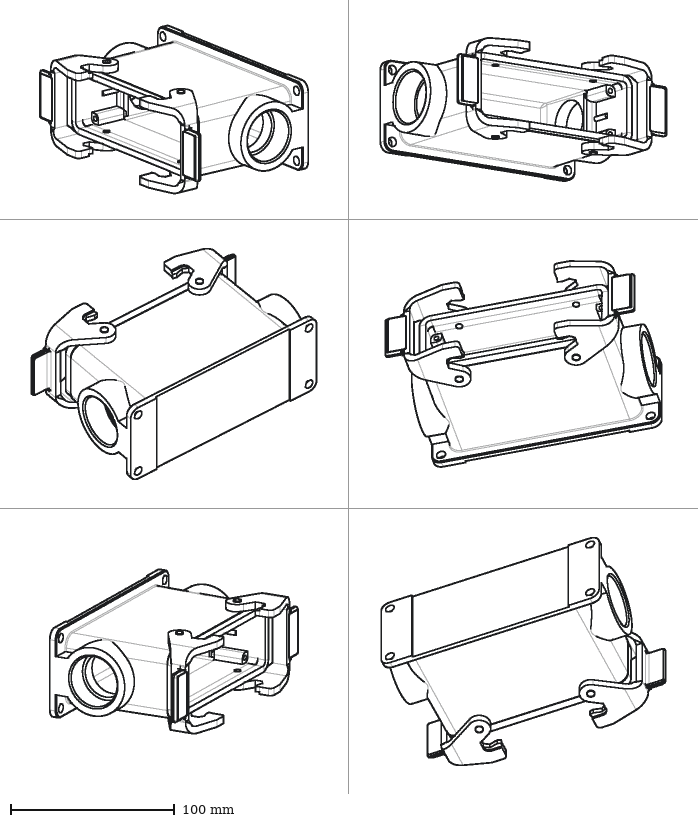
import cadquery as cq
import math


FLANGE_LENGTH = 144.2
FLANGE_HEIGHT = 57.0
FLANGE_THICKNESS = 4.6
FLANGE_CORNER_RADIUS = 6.0
FLANGE_EDGE_CHAMFER = 0.7
FLANGE_ROOT_FILLET = 0.7
RELIEF_LENGTH = 103.5
RELIEF_DEPTH = 1.2
MOUNT_HOLE_DIAMETER = 5.6
MOUNT_HOLE_X = 66.2
MOUNT_HOLE_Z = 22.5

BOX_LENGTH = 121.3
BOX_HEIGHT = 44.9
BOX_CORNER_RADIUS = 7.7
BOX_TAPER = 0.6
BOX_DEPTH = 75.0
MOUTH_DEPTH = 80.9

RIM_LENGTH = 119.2
RIM_HEIGHT = 42.6
RIM_CORNER_RADIUS = 7.2
RIM_WALL = 4.0
RIM_CROWN = 0.6

OPENING_LENGTH = RIM_LENGTH - 2 * RIM_WALL
OPENING_HEIGHT = RIM_HEIGHT - 2 * RIM_WALL
OPENING_CORNER_RADIUS = RIM_CORNER_RADIUS - RIM_WALL
LEAD_IN_DEPTH = 75.0
THROAT_DEPTH = 70.2
WELL_HEIGHT = 34.0
LEDGE_DEPTH = 48.5
LEDGE_ROUNDING = 3.5
WELL_LENGTH = 97.3
WELL_CORNER_RADIUS = 1.5
WELL_TAPER = 0.9
FLOOR_DEPTH = 5.0
FLOOR_FILLET = 2.9

POST_X = 52.1
POST_Z = 13.6
POST_RADIUS = 3.2
POST_SHOULDER_X = POST_X - POST_RADIUS
POST_FACE_DEPTH = 68.0
POST_ROOT_DEPTH = LEDGE_DEPTH - 5
POST_HOLE_DIAMETER = 3.0
POST_HOLE_DEPTH = 2.6
RIB_DIAMETER = 3.0
RIB_FACE_DEPTH = 60.0
WALL_OVERLAP = 1.0

ENTRY_DEPTH = 30.3
ENTRY_FACE_X = FLANGE_LENGTH / 2
ENTRY_ROOT_X = 51.0
ENTRY_ROOT_RADIUS = 22.05
ENTRY_FACE_RADIUS = 21.85
ENTRY_WEB_HALF_HEIGHT = 12.3
ENTRY_THREAD_DIAMETER = 32.0
ENTRY_THREAD_LENGTH = 15.5
ENTRY_CHAMFER = 1.1
ENTRY_BORE_DIAMETER = 28.0

PIVOT_X = 36.9
PIVOT_DEPTH = 71.0
PIN_DIAMETER = 4.0
PIN_HEAD_DIAMETER = 4.8
PIN_HEAD_HEIGHT = 0.6
PIN_HEAD_SINK = 1.0
PIVOT_BOSS_DIAMETER = 7.0
PIVOT_BOSS_ROOT_Z = 20.0

ARM_OUTER_Z = 27.4
ARM_INNER_Z = 22.7
ARM_EYE_RADIUS = 7.0
NECK_ANGLE = math.radians(32)
LEVER_BACK_X = 66.5
LEVER_BACK_THICKNESS = 3.9
LEVER_BEND_RADIUS = 9.3
LEVER_BEND_INNER_RADIUS = 5.0
LEVER_BACK_FRONT_DEPTH = 91.3
LEVER_FRONT_DEPTH = 98.8
LEVER_BACK_REAR_DEPTH = 81.3
BEND_REAR_DEPTH = 75.5
BEND_FRONT_DEPTH = 94.0
HOOK_HEEL_X = 40.2
HOOK_TIP_X = 29.9
HOOK_CORNER_RADIUS = 2.5
SLOT_END_X = 40.6
SLOT_FLOOR_DEPTH = 90.0
SLOT_RADIUS = 3.8
LIP_OUTER_Z = 26.0
LIP_VALLEY_X = 37.2
LIP_VALLEY_DEPTH = 88.3
LIP_CREST_X = 31.8
LIP_CREST_DEPTH = 87.0
LIP_TIP_X = 29.3
LIP_TIP_DEPTH = 87.6
LIP_OVERLAP = 1.0

HANDLE_TIP_X = 157.4 / 2
HANDLE_HALF_HEIGHT = 15.5
HANDLE_BACK_DEPTH = 87.8
HANDLE_CORNER_RADIUS = 2.0
HANDLE_FRONT_CHAMFER = 1.4
HANDLE_BACK_CHAMFER = 0.8
HANDLE_ROOT_FILLET = 1.8
PAD_INNER_X = 65.0
PAD_OUTER_X = 76.4
PAD_HALF_HEIGHT = 14.1
PAD_CORNER_RADIUS = 1.0
PAD_RISE = 0.4

SIDES = (-1, 1)


def at_depth(depth):
    """Plane facing the mouth, with X across and Z up."""
    return cq.Workplane("XZ", origin=(0, -depth, 0))


def rounded_bar(length, height, radius, start, end, taper=0):
    """Bar along Y with rounded long edges, shrinking toward `end`."""
    sketch = cq.Sketch().rect(length, height).vertices().fillet(radius)
    return at_depth(start).placeSketch(sketch).extrude(end - start, taper=taper)


def block(x_range, depth_range, z_range):
    """Box between two X, two depths and two Z."""
    size = [abs(b - a) for a, b in (x_range, depth_range, z_range)]
    corner = (min(x_range), -max(depth_range), min(z_range))
    return cq.Workplane("XY").box(*size, centered=False).translate(corner)


def along_x(radius, start, end, end_radius=None):
    """Cylinder or cone on the cable entry axis."""
    end_radius = radius if end_radius is None else end_radius
    profile = [(start, 0), (start, radius), (end, end_radius), (end, 0)]
    solid = cq.Workplane("XY").polyline(profile).close().revolve(360, (0, 0, 0), (1, 0, 0))
    return solid.translate((0, -ENTRY_DEPTH, 0))


def both_sides(solid):
    """A solid together with its mirror image across X = 0."""
    return solid.union(solid.mirror("YZ"))


def pivot_cylinder(side, level, diameter, z_start, z_end):
    """Cylinder on a lever pivot, between two heights above or below mid-plane."""
    plane = cq.Workplane("XY", origin=(side * PIVOT_X, -PIVOT_DEPTH, level * z_start))
    return plane.circle(diameter / 2).extrude(level * (z_end - z_start))




def make_flange():
    """Mounting plate with corner holes and a relief across its back."""
    flange = rounded_bar(FLANGE_LENGTH, FLANGE_HEIGHT, FLANGE_CORNER_RADIUS, 0, FLANGE_THICKNESS)
    flange = flange.faces("<Y").chamfer(FLANGE_EDGE_CHAMFER)
    relief = at_depth(0).rect(RELIEF_LENGTH, FLANGE_HEIGHT).extrude(RELIEF_DEPTH)
    mount_holes = (
        at_depth(0)
        .rect(2 * MOUNT_HOLE_X, 2 * MOUNT_HOLE_Z, forConstruction=True)
        .vertices()
        .circle(MOUNT_HOLE_DIAMETER / 2)
        .extrude(FLANGE_THICKNESS)
    )
    return flange.cut(relief).cut(mount_holes)


def make_shell():
    """Tapered box with a slightly inset rim round its mouth."""
    box = rounded_bar(BOX_LENGTH, BOX_HEIGHT, BOX_CORNER_RADIUS, RELIEF_DEPTH, BOX_DEPTH, BOX_TAPER)
    rim = rounded_bar(RIM_LENGTH, RIM_HEIGHT, RIM_CORNER_RADIUS, LEDGE_DEPTH, MOUTH_DEPTH - RIM_CROWN)
    return box.union(rim)


def make_crown():
    """Low arched crown running round the face of the rim."""
    sketch = cq.Sketch().rect(RIM_LENGTH - RIM_WALL, RIM_HEIGHT - RIM_WALL)
    sketch = sketch.vertices().fillet(RIM_CORNER_RADIUS - RIM_WALL / 2)
    base_depth = MOUTH_DEPTH - RIM_CROWN
    bar = at_depth(base_depth).placeSketch(sketch).extrude(1)
    path = bar.faces(">Y").wires().val()
    top_z = RIM_HEIGHT / 2
    profile = (
        cq.Workplane("YZ")
        .moveTo(-base_depth, top_z)
        .threePointArc((-MOUTH_DEPTH, top_z - RIM_WALL / 2), (-base_depth, top_z - RIM_WALL))
        .close()
    )
    return profile.sweep(cq.Workplane(path))


def make_opening():
    """Mouth opening, with sloping lead-ins down to the narrower throat."""
    throat = rounded_bar(
        OPENING_LENGTH, WELL_HEIGHT, OPENING_CORNER_RADIUS, LEDGE_DEPTH, MOUTH_DEPTH - RIM_CROWN
    )
    mouth = rounded_bar(
        OPENING_LENGTH, OPENING_HEIGHT, OPENING_CORNER_RADIUS, LEAD_IN_DEPTH, MOUTH_DEPTH - RIM_CROWN
    )
    lead_in = (
        cq.Workplane("YZ")
        .moveTo(-LEAD_IN_DEPTH, -OPENING_HEIGHT / 2)
        .lineTo(-LEAD_IN_DEPTH, OPENING_HEIGHT / 2)
        .lineTo(-THROAT_DEPTH, WELL_HEIGHT / 2)
        .lineTo(-THROAT_DEPTH, -WELL_HEIGHT / 2)
        .close()
        .extrude(OPENING_LENGTH / 2 - OPENING_CORNER_RADIUS, both=True)
    )
    return throat.union(mouth).union(lead_in)


def make_entry():
    """Cable entry on the +X end, with the web that joins it to the flange."""
    boss = along_x(ENTRY_ROOT_RADIUS, ENTRY_ROOT_X, ENTRY_FACE_X, ENTRY_FACE_RADIUS)
    web = block(
        (ENTRY_ROOT_X, ENTRY_FACE_X),
        (RELIEF_DEPTH, ENTRY_DEPTH),
        (-ENTRY_WEB_HALF_HEIGHT, ENTRY_WEB_HALF_HEIGHT),
    )
    return boss.union(web)


def make_entry_bore():
    """Stepped bore of the +X cable entry, chamfered at its mouth."""
    bore = along_x(ENTRY_BORE_DIAMETER / 2, 0, ENTRY_FACE_X)
    thread_radius = ENTRY_THREAD_DIAMETER / 2
    thread = along_x(thread_radius, ENTRY_FACE_X - ENTRY_THREAD_LENGTH, ENTRY_FACE_X)
    mouth = along_x(
        thread_radius, ENTRY_FACE_X - ENTRY_CHAMFER, ENTRY_FACE_X, thread_radius + ENTRY_CHAMFER
    )
    return bore.union(thread).union(mouth)


def make_well():
    """Deep part of the cavity, narrowing toward a floor with a filleted edge."""
    sketch = cq.Sketch().rect(WELL_LENGTH, WELL_HEIGHT).vertices().fillet(WELL_CORNER_RADIUS)
    well = at_depth(LEDGE_DEPTH).placeSketch(sketch).extrude(FLOOR_DEPTH - LEDGE_DEPTH, taper=WELL_TAPER)
    return well.faces(">Y").edges().fillet(FLOOR_FILLET)


def make_ledge_rounding():
    """Bar whose cut rolls the edge from the ledge into the end wall of the well, at +X."""
    edge_x = WELL_LENGTH / 2
    profile = (
        cq.Workplane("XY")
        .moveTo(edge_x, -LEDGE_DEPTH)
        .lineTo(edge_x + LEDGE_ROUNDING, -LEDGE_DEPTH)
        .radiusArc((edge_x, -LEDGE_DEPTH + LEDGE_ROUNDING), LEDGE_ROUNDING)
        .close()
    )
    return profile.extrude(WELL_HEIGHT / 2 - WELL_CORNER_RADIUS, both=True)


def make_posts():
    """Four corner posts, and a rib in the middle of each end wall."""
    posts = cq.Workplane("XY")
    wall_x = OPENING_LENGTH / 2 + WALL_OVERLAP
    wall_z = OPENING_HEIGHT / 2 + WALL_OVERLAP
    depths = (POST_ROOT_DEPTH, POST_FACE_DEPTH)
    height = POST_FACE_DEPTH - POST_ROOT_DEPTH
    for side in SIDES:
        for level in SIDES:
            x = side * POST_X
            z = level * POST_Z
            post = at_depth(POST_ROOT_DEPTH).center(x, z).circle(POST_RADIUS).extrude(height)
            to_wall_x = (x, side * wall_x)
            posts = posts.union(post)
            posts = posts.union(block(to_wall_x, depths, (z - level * POST_RADIUS, level * wall_z)))
            posts = posts.union(
                block((side * POST_SHOULDER_X, side * wall_x), depths, (z, level * wall_z))
            )
        rib = at_depth(POST_ROOT_DEPTH).center(side * OPENING_LENGTH / 2, 0).circle(RIB_DIAMETER / 2)
        posts = posts.union(rib.extrude(RIB_FACE_DEPTH - POST_ROOT_DEPTH))
    return posts


def make_screw_dimple(side, level):
    """Conical screw start in the face of one post."""
    centre = cq.Vector(side * POST_X, -POST_FACE_DEPTH, level * POST_Z)
    cone = cq.Solid.makeCone(POST_HOLE_DIAMETER / 2, 0, POST_HOLE_DEPTH, centre, cq.Vector(0, 1, 0))
    return cq.Workplane(cone)


def make_housing():
    """Hollow housing with flange, cable entries, screw posts and pivot bosses."""
    housing = make_shell()
    housing = housing.union(make_flange())
    flange_corner = cq.selectors.BoxSelector(
        (-BOX_LENGTH / 2 - 1, -FLANGE_THICKNESS - 0.1, -BOX_HEIGHT / 2 - 1),
        (BOX_LENGTH / 2 + 1, -FLANGE_THICKNESS + 0.1, BOX_HEIGHT / 2 + 1),
        boundingbox=True,
    )
    housing = housing.edges(flange_corner).fillet(FLANGE_ROOT_FILLET)
    housing = housing.union(both_sides(make_entry()))
    housing = housing.cut(make_opening()).union(make_crown())
    housing = housing.cut(make_well()).cut(both_sides(make_ledge_rounding()))
    housing = housing.union(make_posts().intersect(make_shell()))
    housing = housing.cut(both_sides(make_entry_bore()))
    for side in SIDES:
        for level in SIDES:
            housing = housing.cut(make_screw_dimple(side, level))
            housing = housing.union(
                pivot_cylinder(side, level, PIVOT_BOSS_DIAMETER, PIVOT_BOSS_ROOT_Z, ARM_INNER_Z)
            )
            housing = housing.cut(pivot_cylinder(side, level, PIN_DIAMETER, 0, ARM_INNER_Z))
    return housing




def arm_outline():
    """Outline of the lever at -X: pivot eye, neck, back and hook."""
    along = (-math.cos(NECK_ANGLE), -math.sin(NECK_ANGLE))
    upper = (
        -PIVOT_X - ARM_EYE_RADIUS * math.sin(NECK_ANGLE),
        -PIVOT_DEPTH + ARM_EYE_RADIUS * math.cos(NECK_ANGLE),
    )
    lower = (
        -PIVOT_X + ARM_EYE_RADIUS * math.sin(NECK_ANGLE),
        -PIVOT_DEPTH - ARM_EYE_RADIUS * math.cos(NECK_ANGLE),
    )
    eye_end = (-PIVOT_X - ARM_EYE_RADIUS * along[0], -PIVOT_DEPTH - ARM_EYE_RADIUS * along[1])
    slope = math.tan(NECK_ANGLE)
    back_corner = (-LEVER_BACK_X, upper[1] - slope * (upper[0] + LEVER_BACK_X))
    slot_corner = (-SLOT_END_X, lower[1] - slope * (lower[0] + SLOT_END_X))
    return (
        cq.Workplane("XY")
        .moveTo(*upper)
        .lineTo(*back_corner)
        .lineTo(-LEVER_BACK_X, -LEVER_BACK_FRONT_DEPTH)
        .lineTo(-HOOK_HEEL_X, -LEVER_FRONT_DEPTH)
        .lineTo(-HOOK_TIP_X - HOOK_CORNER_RADIUS, -LEVER_FRONT_DEPTH)
        .radiusArc((-HOOK_TIP_X, -LEVER_FRONT_DEPTH + HOOK_CORNER_RADIUS), -HOOK_CORNER_RADIUS)
        .lineTo(-HOOK_TIP_X, -SLOT_FLOOR_DEPTH)
        .lineTo(-SLOT_END_X + SLOT_RADIUS, -SLOT_FLOOR_DEPTH)
        .radiusArc((-SLOT_END_X, -SLOT_FLOOR_DEPTH + SLOT_RADIUS), SLOT_RADIUS)
        .lineTo(*slot_corner)
        .lineTo(*lower)
        .threePointArc(eye_end, upper)
        .close()
    )


def make_edge_trims():
    """Cutters that square the inner rims of the lever's back and run out along its bends."""
    flat_z = ARM_INNER_Z - LEVER_BEND_INNER_RADIUS
    trims = cq.Workplane("YZ", origin=(-LEVER_BACK_X, 0, 0))
    for flat_depth, end_depth, outside in (
        (LEVER_BACK_REAR_DEPTH, BEND_REAR_DEPTH, PIVOT_DEPTH),
        (LEVER_BACK_FRONT_DEPTH, BEND_FRONT_DEPTH, LEVER_FRONT_DEPTH),
    ):
        trims = trims.polyline(
            [
                (-outside, -ARM_INNER_Z),
                (-end_depth, -ARM_INNER_Z),
                (-flat_depth, -flat_z),
                (-flat_depth, flat_z),
                (-end_depth, ARM_INNER_Z),
                (-outside, ARM_INNER_Z),
            ]
        ).close()
    return trims.extrude(LEVER_BEND_RADIUS)


def make_lip(level):
    """Low step along the slot floor of one hook, ending in a nose."""
    lip = (
        cq.Workplane("XY", origin=(0, 0, level * ARM_INNER_Z))
        .moveTo(-HOOK_TIP_X, -SLOT_FLOOR_DEPTH - LIP_OVERLAP)
        .lineTo(-HOOK_TIP_X, -SLOT_FLOOR_DEPTH)
        .lineTo(-LIP_TIP_X, -LIP_TIP_DEPTH)
        .lineTo(-LIP_CREST_X, -LIP_CREST_DEPTH)
        .lineTo(-LIP_VALLEY_X, -LIP_VALLEY_DEPTH)
        .lineTo(-SLOT_END_X, -SLOT_FLOOR_DEPTH + SLOT_RADIUS)
        .lineTo(-SLOT_END_X - LIP_OVERLAP, -SLOT_FLOOR_DEPTH - LIP_OVERLAP)
        .close()
    )
    return lip.extrude(level * (LIP_OUTER_Z - ARM_INNER_Z))


def make_handle():
    """Finger tab on the back of the lever, with bevelled edges and a raised pad."""
    handle = block(
        (-HANDLE_TIP_X, -LEVER_BACK_X + LEVER_BACK_THICKNESS),
        (HANDLE_BACK_DEPTH, LEVER_BACK_FRONT_DEPTH),
        (-HANDLE_HALF_HEIGHT, HANDLE_HALF_HEIGHT),
    )
    handle = handle.edges("|Y").fillet(HANDLE_CORNER_RADIUS)
    handle = handle.faces("<Y").chamfer(HANDLE_FRONT_CHAMFER)
    handle = handle.faces(">Y").edges("<X").chamfer(HANDLE_BACK_CHAMFER)
    pad = block(
        (-PAD_OUTER_X, -PAD_INNER_X),
        (HANDLE_BACK_DEPTH, LEVER_BACK_FRONT_DEPTH + PAD_RISE),
        (-PAD_HALF_HEIGHT, PAD_HALF_HEIGHT),
    )
    return handle.union(pad.edges("|Y").fillet(PAD_CORNER_RADIUS))


def spandrel(plane, corner, sign):
    """Concave fillet wedge filling the corner between the lever's back and the handle."""
    x, v = corner
    return (
        plane.moveTo(x, v)
        .lineTo(x, v + sign * HANDLE_ROOT_FILLET)
        .radiusArc((x - HANDLE_ROOT_FILLET, v), sign * HANDLE_ROOT_FILLET)
        .close()
    )


def make_handle_root():
    """Fillets along the rear and the two ends of the handle where it leaves the lever."""
    rear = spandrel(cq.Workplane("XY"), (-LEVER_BACK_X, -HANDLE_BACK_DEPTH), 1)
    root = rear.extrude(HANDLE_HALF_HEIGHT, both=True)
    for level in SIDES:
        end = spandrel(at_depth(HANDLE_BACK_DEPTH), (-LEVER_BACK_X, level * HANDLE_HALF_HEIGHT), level)
        root = root.union(end.extrude(LEVER_BACK_FRONT_DEPTH - HANDLE_BACK_DEPTH))
    return root


def make_lever():
    """Locking lever at -X: two hooked arms bent round the housing, with their pivot pins."""
    lever = arm_outline().extrude(ARM_OUTER_Z, both=True)
    envelope = block((-LEVER_BACK_X, 0), (0, LEVER_FRONT_DEPTH), (-ARM_OUTER_Z, ARM_OUTER_Z))
    envelope = envelope.edges("|Y and <X").fillet(LEVER_BEND_RADIUS)
    gap = block(
        (-LEVER_BACK_X + LEVER_BACK_THICKNESS, 0), (0, LEVER_FRONT_DEPTH), (-ARM_INNER_Z, ARM_INNER_Z)
    )
    gap = gap.edges("|Y and <X").fillet(LEVER_BEND_INNER_RADIUS)
    lever = lever.intersect(envelope).cut(gap).cut(make_edge_trims())
    lever = lever.union(make_handle()).union(make_handle_root())
    for level in SIDES:
        lever = lever.union(make_lip(level))
        lever = lever.union(
            pivot_cylinder(-1, level, PIN_DIAMETER, OPENING_HEIGHT / 2, ARM_OUTER_Z)
        )
        head_range = (ARM_OUTER_Z - PIN_HEAD_SINK, ARM_OUTER_Z + PIN_HEAD_HEIGHT)
        lever = lever.union(pivot_cylinder(-1, level, PIN_HEAD_DIAMETER, *head_range))
    return lever


housing = make_housing()
left_lever = make_lever()
right_lever = left_lever.mirror("YZ")

bodies = [*housing.solids().vals(), *left_lever.solids().vals(), *right_lever.solids().vals()]
result = cq.Compound.makeCompound(bodies)